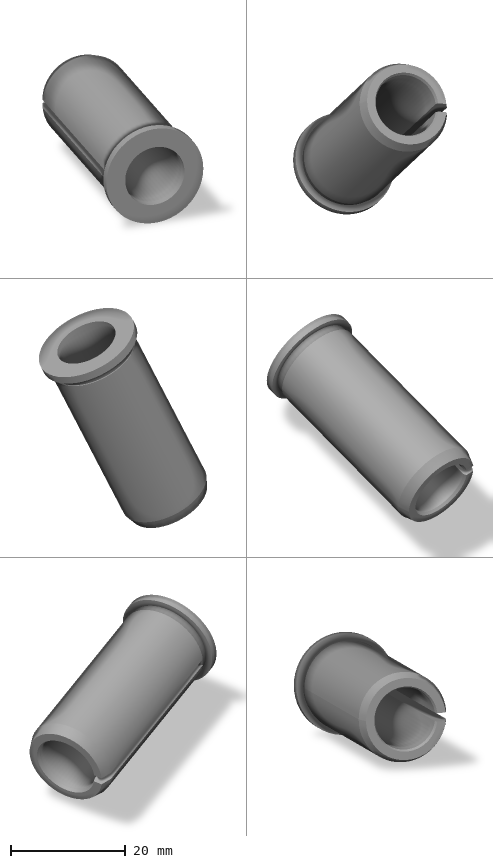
import cadquery as cq

length = 37.0
flange_thickness = 1.5
neck_width = 1.5

flange_diameter = 18.0
body_diameter = 16.0
neck_diameter = 15.5
bore_diameter = 11.0

lead_in_length = 2.0
lead_in_depth = 0.73

bore_chamfer_length = 0.55
bore_chamfer_depth = 0.27

slot_width = 1.5
slot_runout_length = 2.0
slot_end_radius = 7.88

flange_start = length - flange_thickness
neck_start = flange_start - neck_width
slot_floor_end = neck_start - slot_runout_length
body_radius = body_diameter / 2
neck_radius = neck_diameter / 2
bore_radius = bore_diameter / 2
flange_radius = flange_diameter / 2


def make_sleeve():
    """Flanged sleeve, revolved about the X axis from its half section."""
    return (
        cq.Workplane("XY")
        .moveTo(0, bore_radius + bore_chamfer_depth)
        .lineTo(0, body_radius - lead_in_depth)
        .lineTo(lead_in_length, body_radius)
        .lineTo(neck_start, body_radius)
        .lineTo(neck_start, neck_radius)
        .lineTo(flange_start, neck_radius)
        .lineTo(flange_start, flange_radius)
        .lineTo(length, flange_radius)
        .lineTo(length, bore_radius)
        .lineTo(bore_chamfer_length, bore_radius)
        .close()
        .revolve(360, (0, 0, 0), (1, 0, 0))
    )


def make_slot():
    """Slot cutter whose far end is a flat slope from the bore out to the neck step."""
    return (
        cq.Workplane("XY")
        .lineTo(0, -body_radius)
        .lineTo(neck_start, -body_radius)
        .lineTo(neck_start, -slot_end_radius)
        .lineTo(slot_floor_end, -bore_radius)
        .lineTo(slot_floor_end, 0)
        .close()
        .extrude(slot_width / 2, both=True)
    )


result = make_sleeve().cut(make_slot())